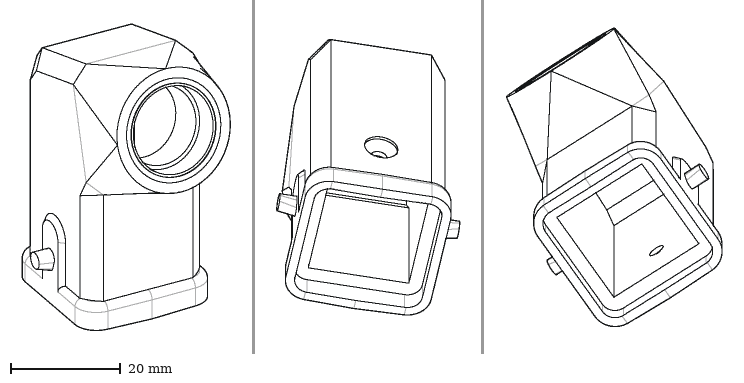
import cadquery as cq
import math


BODY_HALF = 12.5
CORNER = 3.15
CORNER_BULGE = 0.3
BACK_WALL_TOP = 44.35
BACK_CORNER_LOW = 41.6
FRONT_WALL_TOP = 27.25
FRONT_CORNER_LOW = 26.45
WALL_IN = BODY_HALF - CORNER

TILT = math.radians(15)
BACK_SLOPE = (math.pi / 2 + TILT) / 2
OUTLET_LENGTH = 13.25
MOUTH_RADIUS = 23.45 / 2
PASSAGE_RADIUS = 15.0 / 2

INSERT_RADIUS = 19.5 / 2
INSERT_BORE_RADIUS = 16.5 / 2
INSERT_LIP_RADIUS = 17.5 / 2
INSERT_LIP_DEPTH = 0.15
INSERT_LENGTH = 5.45

BASE_HALF_WIDTH = 13.5
BASE_HALF_LENGTH = 13.75
END_BOW = 0.2
BASE_HEIGHT = 5.2
BASE_CORNER_RADIUS = 4.45
BASE_TOP_FILLET = 1.45
RIM_WALL = 1.7
RIM_DEPTH = 3.8
SAG_BOTTOM = -END_BOW

PAD_HALF_WIDTH = 2.95
PAD_RISE = BASE_HALF_WIDTH - BODY_HALF
PAD_ARC_Z = 14.0

PIN_RADIUS = 3.2 / 2
PIN_Z = 9.65
PIN_TIP_Y = 33.4 / 2
PIN_FOOT_RADIUS = 1.05
PIN_FOOT_DROP = 1.75
PIN_TIP_FOOT = math.radians(45)

HOLE_Z = 14.3
HOLE_HEAD_RADIUS = 6.2 / 2
HOLE_RADIUS = 2.95 / 2
HOLE_HEAD_DEPTH = 0.55
HOLE_CONE_DEPTH = HOLE_HEAD_RADIUS - HOLE_RADIUS


def slope_meet(start, steep, through, shallow):
    """Return where a steep line from `start` meets a shallow line through another point."""
    (x0, z0), (x1, z1) = start, through
    run = (z1 - z0 + (x0 - x1) * math.tan(shallow)) / (math.tan(steep) - math.tan(shallow))
    return (x0 + run, z0 + run * math.tan(steep))


def along_section(distance):
    """Return the (x, z) point this far up the tilted section plane from the front wall top."""
    return (BODY_HALF - distance * math.sin(TILT), FRONT_WALL_TOP + distance * math.cos(TILT))


SECTION_BOTTOM = along_section(0)
SECTION_TOP = along_section(2 * BODY_HALF)
BACK_TOP = (-BODY_HALF, BACK_WALL_TOP)
ROOF_BACK = slope_meet(BACK_TOP, BACK_SLOPE, SECTION_TOP, TILT)

SIDE_SECTION_BOTTOM = along_section(CORNER)
SIDE_SECTION_TOP = along_section(2 * BODY_HALF - CORNER)
SIDE_FRONT = (WALL_IN, FRONT_CORNER_LOW)
SIDE_BACK = (-WALL_IN, BACK_CORNER_LOW)
SIDE_ROOF_BACK = slope_meet(SIDE_BACK, BACK_SLOPE, SIDE_SECTION_TOP, TILT)
SIDE_OUTLINE = [
    (-WALL_IN, 0), (WALL_IN, 0), SIDE_FRONT, SIDE_SECTION_BOTTOM,
    SIDE_SECTION_TOP, SIDE_ROOF_BACK, SIDE_BACK,
]

SECTION_CENTRE = along_section(BODY_HALF)
AXIS = cq.Vector(math.cos(TILT), 0, math.sin(TILT))
MOUTH_CENTRE = cq.Vector(SECTION_CENTRE[0], 0, SECTION_CENTRE[1]) + AXIS * OUTLET_LENGTH


def at(point, y):
    """Place an (x, z) outline point at the given Y."""
    return cq.Vector(point[0], y, point[1])


def panel(*points):
    """Flat face through the points."""
    return cq.Face.makeFromWires(cq.Wire.makePolygon(points, close=True))


def mouth_point(degrees):
    """Point on the mouth circle: 0 is +Y, 90 is the uppermost point."""
    angle = math.radians(degrees)
    up = cq.Vector(-math.sin(TILT), 0, math.cos(TILT))
    across = cq.Vector(0, 1, 0)
    return MOUTH_CENTRE + (across * math.cos(angle) + up * math.sin(angle)) * MOUTH_RADIUS


def mouth_arc(start):
    """Quarter of the mouth circle beginning at `start` degrees."""
    return cq.Edge.makeThreePointArc(mouth_point(start), mouth_point(start + 45), mouth_point(start + 90))


def bowed_edge(x_sign, y_sign):
    """Bottom edge of one trunk corner, from the side wall to the end wall."""
    bow = (WALL_IN + CORNER / 2) + CORNER_BULGE / math.sqrt(2)
    return cq.Edge.makeThreePointArc(
        cq.Vector(x_sign * WALL_IN, y_sign * BODY_HALF, 0),
        cq.Vector(x_sign * bow, y_sign * bow, 0),
        cq.Vector(x_sign * BODY_HALF, y_sign * WALL_IN, 0),
    )


def trunk_corner(x_sign, y_sign, side_top, end_top):
    """Upright corner face, bowed at the bottom and straight at its top edge."""
    top = cq.Edge.makeLine(at(side_top, y_sign * BODY_HALF), at(end_top, y_sign * WALL_IN))
    return cq.Face.makeRuledSurface(bowed_edge(x_sign, y_sign), top)


def side_faces(y_sign):
    """Faces of the trunk and outlet that belong to one side of the symmetry plane."""
    outer = y_sign * BODY_HALF
    inner = y_sign * WALL_IN
    quadrant = mouth_point(0 if y_sign > 0 else 180)
    upper_arc = mouth_arc(0 if y_sign > 0 else 90)
    lower_arc = mouth_arc(270 if y_sign > 0 else 180)
    high = (at(SIDE_SECTION_TOP, outer), at(SECTION_TOP, inner))
    low = (at(SECTION_BOTTOM, inner), at(SIDE_SECTION_BOTTOM, outer))
    if y_sign < 0:
        high = high[::-1]
        low = low[::-1]
    return [
        panel(*[at(point, outer) for point in SIDE_OUTLINE]),
        panel(at(SIDE_BACK, outer), at(BACK_TOP, inner), at(ROOF_BACK, inner), at(SIDE_ROOF_BACK, outer)),
        panel(at(SIDE_ROOF_BACK, outer), at(ROOF_BACK, inner),
              at(SECTION_TOP, inner), at(SIDE_SECTION_TOP, outer)),
        panel(at(SIDE_FRONT, outer), at(SECTION_BOTTOM, inner), at(SIDE_SECTION_BOTTOM, outer)),
        trunk_corner(-1, y_sign, SIDE_BACK, BACK_TOP),
        trunk_corner(1, y_sign, SIDE_FRONT, SECTION_BOTTOM),
        panel(at(SIDE_SECTION_TOP, outer), at(SIDE_SECTION_BOTTOM, outer), quadrant),
        cq.Face.makeRuledSurface(cq.Edge.makeLine(*high), upper_arc),
        cq.Face.makeRuledSurface(cq.Edge.makeLine(*low), lower_arc),
    ]


def spanning_panel(start, end):
    """Flat face between two outline points, spanning from -WALL_IN to +WALL_IN."""
    return panel(at(start, -WALL_IN), at(end, -WALL_IN), at(end, WALL_IN), at(start, WALL_IN))


def make_envelope():
    """Solid envelope of the trunk and the outlet."""
    floor_edges = [bowed_edge(x, y) for x in (-1, 1) for y in (-1, 1)]
    for sign in (-1, 1):
        floor_edges.append(cq.Edge.makeLine(
            cq.Vector(-WALL_IN, sign * BODY_HALF, 0), cq.Vector(WALL_IN, sign * BODY_HALF, 0)))
        floor_edges.append(cq.Edge.makeLine(
            cq.Vector(sign * BODY_HALF, -WALL_IN, 0), cq.Vector(sign * BODY_HALF, WALL_IN, 0)))
    faces = [
        cq.Face.makeFromWires(cq.Wire.combine(floor_edges)[0]),
        spanning_panel((-BODY_HALF, 0), BACK_TOP),
        spanning_panel(BACK_TOP, ROOF_BACK),
        spanning_panel(ROOF_BACK, SECTION_TOP),
        spanning_panel((BODY_HALF, 0), SECTION_BOTTOM),
        panel(at(SECTION_TOP, -WALL_IN), at(SECTION_TOP, WALL_IN), mouth_point(90)),
        panel(at(SECTION_BOTTOM, -WALL_IN), at(SECTION_BOTTOM, WALL_IN), mouth_point(270)),
        cq.Face.makeFromWires(cq.Wire.assembleEdges([mouth_arc(start) for start in (0, 90, 180, 270)])),
    ]
    for y_sign in (-1, 1):
        faces += side_faces(y_sign)
    return cq.Workplane(obj=cq.Solid.makeSolid(cq.Shell.makeShell(faces)))


def make_base():
    """Flange with rounded corners and slightly bowed end walls."""
    peak = BASE_HALF_LENGTH + END_BOW
    plan = [
        (-BASE_HALF_LENGTH, -BASE_HALF_WIDTH), (BASE_HALF_LENGTH, -BASE_HALF_WIDTH), (peak, 0),
        (BASE_HALF_LENGTH, BASE_HALF_WIDTH), (-BASE_HALF_LENGTH, BASE_HALF_WIDTH), (-peak, 0),
    ]
    base = (
        cq.Workplane("XY").workplane(offset=SAG_BOTTOM).polyline(plan).close()
        .extrude(BASE_HEIGHT - SAG_BOTTOM)
        .edges("|Z").edges("<Y or >Y").fillet(BASE_CORNER_RADIUS)
        .faces(">Z").edges().fillet(BASE_TOP_FILLET)
    )
    sag_profile = [
        (-BASE_HALF_WIDTH, 0), (-WALL_IN, 0), (0, SAG_BOTTOM), (WALL_IN, 0), (BASE_HALF_WIDTH, 0),
        (BASE_HALF_WIDTH, BASE_HEIGHT), (-BASE_HALF_WIDTH, BASE_HEIGHT),
    ]
    return base.intersect(cq.Workplane("YZ").polyline(sag_profile).close().extrude(peak, both=True))


def pad_wire(half_width, y):
    """Round-topped pad outline at the given Y."""
    left = cq.Vector(-half_width, y, PAD_ARC_Z)
    right = cq.Vector(half_width, y, PAD_ARC_Z)
    return cq.Wire.assembleEdges([
        cq.Edge.makeLine(cq.Vector(-half_width, y, 0), cq.Vector(half_width, y, 0)),
        cq.Edge.makeLine(cq.Vector(half_width, y, 0), right),
        cq.Edge.makeThreePointArc(right, cq.Vector(0, y, PAD_ARC_Z + half_width), left),
        cq.Edge.makeLine(left, cq.Vector(-half_width, y, 0)),
    ])


def make_pad(y_sign):
    """Round-topped pad with 45 degree edges, standing on one side wall."""
    root = pad_wire(PAD_HALF_WIDTH + PAD_RISE, y_sign * BODY_HALF)
    top = pad_wire(PAD_HALF_WIDTH, y_sign * BASE_HALF_WIDTH)
    return cq.Workplane(obj=cq.Solid.makeLoft([root, top], True))


def pin_wire(y, shoulder, foot_radius, foot_drop, foot_angle):
    """Pin section in four pieces: crown, two flanks and foot.

    The crown ends `shoulder` below the horizontal. The foot is an arc centred `foot_drop` below the
    pin axis and begins `foot_angle` below the horizontal.
    """
    def rim(radius, angle, drop):
        """Point on a circle centred `drop` below the pin axis."""
        return cq.Vector(radius * math.cos(angle), y, PIN_Z - drop + radius * math.sin(angle))

    up = math.pi / 2
    crown_right = rim(PIN_RADIUS, -shoulder, 0)
    crown_left = rim(PIN_RADIUS, math.pi + shoulder, 0)
    foot_right = rim(foot_radius, -foot_angle, foot_drop)
    foot_left = rim(foot_radius, math.pi + foot_angle, foot_drop)
    crown = cq.Edge.makeThreePointArc(crown_left, rim(PIN_RADIUS, up, 0), crown_right)
    foot = cq.Edge.makeThreePointArc(foot_right, rim(foot_radius, -up, foot_drop), foot_left)
    if foot_drop:
        right_flank = cq.Edge.makeLine(crown_right, foot_right)
        left_flank = cq.Edge.makeLine(foot_left, crown_left)
    else:
        middle = (shoulder + foot_angle) / 2
        right_flank = cq.Edge.makeThreePointArc(crown_right, rim(PIN_RADIUS, -middle, 0), foot_right)
        left_flank = cq.Edge.makeThreePointArc(foot_left, rim(PIN_RADIUS, math.pi + middle, 0), crown_left)
    return cq.Wire.assembleEdges([crown, right_flank, foot, left_flank])


def make_pin(y_sign):
    """Locking pin, round at its tip and deepening downwards to a teardrop at the pad."""
    tangent = math.asin((PIN_RADIUS - PIN_FOOT_RADIUS) / PIN_FOOT_DROP)
    root = pin_wire(y_sign * BASE_HALF_WIDTH, tangent, PIN_FOOT_RADIUS, PIN_FOOT_DROP, tangent)
    tip = pin_wire(y_sign * PIN_TIP_Y, 0, PIN_RADIUS, 0, PIN_TIP_FOOT)
    return cq.Workplane(obj=cq.Solid.makeLoft([root, tip], True))


def outlet_cylinder(radius, start, length):
    """Cylinder on the outlet axis; `start` is measured inward from the mouth."""
    return cq.Workplane(obj=cq.Solid.makeCylinder(radius, length, MOUTH_CENTRE - AXIS * start, AXIS * -1))


def make_cavity():
    """Interior of the trunk, one wall thickness inside it, with the wider seat at the rim."""
    hollow = cq.Workplane("XZ").polyline(SIDE_OUTLINE).close().extrude(WALL_IN, both=True)
    rim = (
        cq.Workplane("XY").workplane(offset=SAG_BOTTOM)
        .rect(2 * (BASE_HALF_LENGTH - RIM_WALL), 2 * (BASE_HALF_WIDTH - RIM_WALL))
        .extrude(RIM_DEPTH - SAG_BOTTOM)
        .edges("|Z").fillet(BASE_CORNER_RADIUS - RIM_WALL)
    )
    return hollow.union(rim)


def make_screw_hole():
    """Countersunk hole through the -X wall."""
    cone_x = -BODY_HALF + HOLE_HEAD_DEPTH
    profile = [
        (-BODY_HALF, 0), (-BODY_HALF, HOLE_HEAD_RADIUS), (cone_x, HOLE_HEAD_RADIUS),
        (cone_x + HOLE_CONE_DEPTH, HOLE_RADIUS), (-WALL_IN, HOLE_RADIUS), (-WALL_IN, 0),
    ]
    return (
        cq.Workplane("XY").polyline(profile).close().revolve(360, (0, 0, 0), (1, 0, 0))
        .translate((0, 0, HOLE_Z))
    )


def make_housing():
    """Hood with base, pads, pins, cavity, outlet passage and insert seat."""
    housing = make_envelope().union(make_base())
    for y_sign in (-1, 1):
        housing = housing.union(make_pad(y_sign)).union(make_pin(y_sign))
    housing = housing.cut(make_cavity()).cut(make_screw_hole())
    housing = housing.cut(outlet_cylinder(PASSAGE_RADIUS, INSERT_LENGTH, OUTLET_LENGTH - INSERT_LENGTH))
    return housing.cut(outlet_cylinder(INSERT_RADIUS, 0, INSERT_LENGTH))


def make_insert():
    """Bushing flush with the mouth, with a shallow step around its bore."""
    sleeve = outlet_cylinder(INSERT_RADIUS, 0, INSERT_LENGTH)
    bore = outlet_cylinder(INSERT_BORE_RADIUS, 0, INSERT_LENGTH)
    lip = outlet_cylinder(INSERT_LIP_RADIUS, 0, INSERT_LIP_DEPTH)
    return sleeve.cut(bore).cut(lip)


housing = make_housing()
insert = make_insert()
result = cq.Compound.makeCompound([housing.val(), insert.val()])